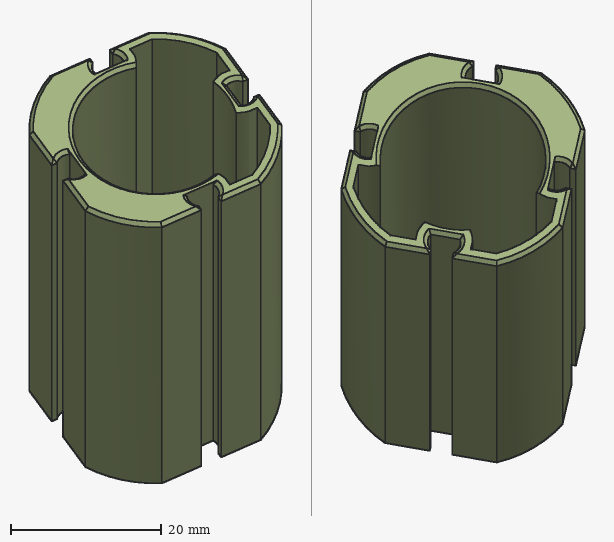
import cadquery as cq
import math

length = 54.0
width = 30.0
flat_half = 7.55
wall = 1.55
bore_radius = 11.0
chamfer_size = 0.55
tolerance = 0.005

slot_mouth_half = 1.5
slot_lip_radius = 14.2
slot_belly_half = 2.15
slot_belly_radius = 13.1
slot_floor_half = 2.0
slot_floor = 12.0

leg_half = 3.7
leg_bend = 12.2
leg_middle = (3.5, 11.45)
leg_tip_half = 3.1

half = width / 2
corner_radius = math.hypot(half, flat_half)
hollow_half = half - wall
hollow_radius = corner_radius - wall
hollow_flat_half = math.sqrt(hollow_radius**2 - hollow_half**2)
leg_tip = math.sqrt(bore_radius**2 - leg_tip_half**2)


def make_body():
    """Square bar with corners rounded about the centre axis."""
    square = cq.Workplane("XY").rect(width, width).extrude(length)
    return square.intersect(cq.Workplane("XY").circle(corner_radius).extrude(length))


def make_slot():
    """Slot on the +Y side, with bulging side walls and a flat floor."""
    outside = 2 * half - slot_floor
    return (
        cq.Workplane("XY")
        .moveTo(-slot_mouth_half, outside)
        .lineTo(-slot_mouth_half, slot_lip_radius)
        .threePointArc((-slot_belly_half, slot_belly_radius), (-slot_floor_half, slot_floor))
        .lineTo(slot_floor_half, slot_floor)
        .threePointArc((slot_belly_half, slot_belly_radius), (slot_mouth_half, slot_lip_radius))
        .lineTo(slot_mouth_half, outside)
        .close()
        .extrude(length)
    )


def make_corner_hollow():
    """Hollow in the +X +Y corner, reaching inward to the bore."""
    diagonal = hollow_radius / math.sqrt(2)
    return (
        cq.Workplane("XY")
        .lineTo(leg_tip_half, leg_tip)
        .threePointArc(leg_middle, (leg_half, leg_bend))
        .lineTo(leg_half, hollow_half)
        .lineTo(hollow_flat_half, hollow_half)
        .threePointArc((diagonal, diagonal), (hollow_half, hollow_flat_half))
        .lineTo(hollow_half, leg_half)
        .lineTo(leg_bend, leg_half)
        .threePointArc(leg_middle[::-1], (leg_tip, leg_tip_half))
        .close()
        .extrude(length)
    )


def is_chamfered(edge):
    """Outer outline, slot walls, the +Y slot floor and the lower bore arc."""
    middle = edge.positionAt(0.5)
    x = abs(middle.x)
    y = abs(middle.y)
    reach = max(x, y)
    on_outline = reach > half - tolerance or math.hypot(x, y) > corner_radius - tolerance
    on_slot_wall = reach > slot_floor + tolerance and min(x, y) < leg_tip_half
    on_upper_floor = x < tolerance and abs(middle.y - slot_floor) < tolerance
    on_lower_bore = middle.y < 0 and math.hypot(x, y) < bore_radius + tolerance
    return on_outline or on_slot_wall or on_upper_floor or on_lower_bore


profile = make_body().cut(cq.Workplane("XY").circle(bore_radius).extrude(length))
axis_start = (0, 0, 0)
axis_end = (0, 0, 1)
for turn in range(4):
    profile = profile.cut(make_slot().rotate(axis_start, axis_end, 90 * turn))
for turn in range(2):
    profile = profile.cut(make_corner_hollow().rotate(axis_start, axis_end, 90 * turn))

top_face = profile.faces(">Z").val()
edges = [edge for edge in top_face.Edges() if is_chamfered(edge)]
result = cq.Workplane(profile.val().chamfer(chamfer_size, None, edges))